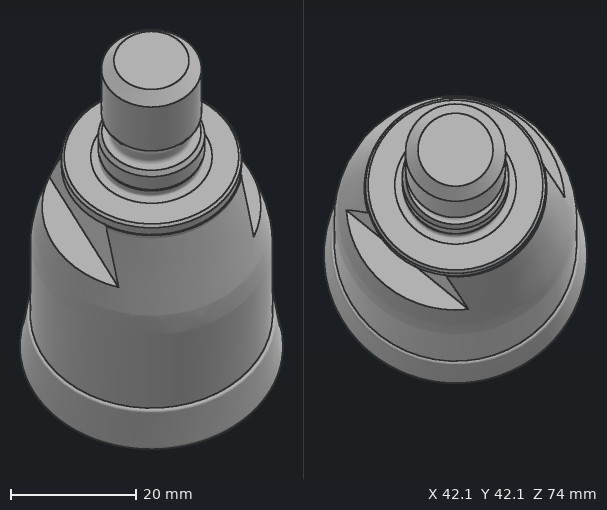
import cadquery as cq
import math

total_height = 74.0
skirt_top_z = 10.15
barrel_top_z = 28.6
shoulder_top_z = 32.7
flat_bottom_z = 37.2
neck_bottom_z = 47.0
flange_bottom_z = 47.7
flange_top_z = 49.9

skirt_widest_radius = 21.2
skirt_top_radius = 19.9
skirt_corner_z = 1.3
skirt_corner_round = 1.1
skirt_top_round = 0.5
bottom_face_radius = 14.2
barrel_radius = 38.7 / 2
shoulder_top_radius = 18.8
neck_radius = 14.6
flange_radius = 28.8 / 2
flange_chamfer = 0.45
flat_distance = 12.0

seat_radius = 9.7
seat_depth = flange_top_z - flange_bottom_z
stem_radius = 16.6 / 2
stem_fillet = 0.5
stem_top_z = 51.3
collar_radius = 17 / 2
collar_bottom_z = 51.9
collar_top_z = 56.0
collar_chamfer_width = 0.6
collar_chamfer_height = 0.9
groove_radius = 13.0 / 2
groove_lower_fillet = 1.0
groove_upper_fillet = 1.3
groove_cone_angle = math.radians(30)
groove_cone_start_z = 58.7
head_radius = 16.0 / 2
head_bottom_z = 61.0
head_chamfer = 2.0


def make_housing_blank():
    """Revolve the skirt, barrel, rounded shoulder, cone and top flange."""
    blank = (
        cq.Workplane("XZ")
        .lineTo(bottom_face_radius, 0)
        .lineTo(skirt_widest_radius, skirt_corner_z)
        .lineTo(skirt_top_radius, skirt_top_z)
        .lineTo(barrel_radius, skirt_top_z)
        .lineTo(barrel_radius, barrel_top_z)
        .tangentArcPoint((shoulder_top_radius, shoulder_top_z), relative=False)
        .lineTo(neck_radius, neck_bottom_z)
        .lineTo(neck_radius, flange_bottom_z)
        .lineTo(flange_radius, flange_bottom_z)
        .lineTo(flange_radius, flange_top_z)
        .lineTo(0, flange_top_z)
        .close()
        .revolve(360, (0, 0, 0), (0, 1, 0))
    )
    blank = blank.faces(">Z").edges().chamfer(flange_chamfer)
    blank = round_circle(blank, skirt_widest_radius, skirt_corner_z, skirt_corner_round)
    return round_circle(blank, skirt_top_radius, skirt_top_z, skirt_top_round)


def round_circle(body, radius, height, fillet_radius):
    """Fillet the circular edge that has the given radius and height."""
    margin = 0.1
    outer = cq.selectors.BoxSelector(
        (-radius - margin, -radius - margin, height - margin),
        (radius + margin, radius + margin, height + margin),
        boundingbox=True,
    )
    circles = [
        edge for edge in body.edges(outer).vals()
        if edge.geomType() == "CIRCLE" and abs(edge.radius() - radius) < margin
    ]
    return body.newObject([body.val().fillet(fillet_radius, circles)])


def cut_wrench_flats(housing):
    """Cut two opposite flats under the flange, facing -Y and +Y."""
    cutter_depth = skirt_widest_radius - flat_distance
    for side in (-1, 1):
        cutter = (
            cq.Workplane("XY", origin=(0, side * (flat_distance + cutter_depth / 2), flat_bottom_z))
            .rect(2 * skirt_widest_radius, cutter_depth)
            .extrude(flange_bottom_z - flat_bottom_z)
        )
        housing = housing.cut(cutter)
    return housing


def cut_stud_seat(housing):
    """Bore the round recess that holds the foot of the stud."""
    seat = (
        cq.Workplane("XY", origin=(0, 0, flange_top_z - seat_depth))
        .circle(seat_radius)
        .extrude(seat_depth)
    )
    return housing.cut(seat)


def make_stud():
    """Revolve the stud: seated foot, stem, collar, groove and chamfered head."""
    half_turn = math.sqrt(0.5)
    stem_fillet_middle = stem_fillet * (1 - half_turn)
    groove_fillet_middle = groove_lower_fillet * (1 - half_turn)
    groove_cylinder_top_z = groove_cone_start_z - groove_upper_fillet * math.sin(groove_cone_angle)
    groove_cone_start_radius = groove_radius + groove_upper_fillet * (1 - math.cos(groove_cone_angle))
    return (
        cq.Workplane("XZ")
        .moveTo(0, flange_top_z - seat_depth)
        .lineTo(seat_radius, flange_top_z - seat_depth)
        .lineTo(seat_radius, flange_top_z)
        .lineTo(stem_radius + stem_fillet, flange_top_z)
        .threePointArc(
            (stem_radius + stem_fillet_middle, flange_top_z + stem_fillet_middle),
            (stem_radius, flange_top_z + stem_fillet),
        )
        .lineTo(stem_radius, stem_top_z)
        .lineTo(collar_radius, collar_bottom_z)
        .lineTo(collar_radius, collar_top_z - collar_chamfer_height)
        .lineTo(collar_radius - collar_chamfer_width, collar_top_z)
        .lineTo(groove_radius + groove_lower_fillet, collar_top_z)
        .threePointArc(
            (groove_radius + groove_fillet_middle, collar_top_z + groove_fillet_middle),
            (groove_radius, collar_top_z + groove_lower_fillet),
        )
        .lineTo(groove_radius, groove_cylinder_top_z)
        .tangentArcPoint((groove_cone_start_radius, groove_cone_start_z), relative=False)
        .lineTo(head_radius, head_bottom_z)
        .lineTo(head_radius, total_height - head_chamfer)
        .lineTo(head_radius - head_chamfer, total_height)
        .lineTo(0, total_height)
        .close()
        .revolve(360, (0, 0, 0), (0, 1, 0))
    )


housing = cut_stud_seat(cut_wrench_flats(make_housing_blank()))
stud = make_stud()

result = cq.Compound.makeCompound([housing.val(), stud.val()])